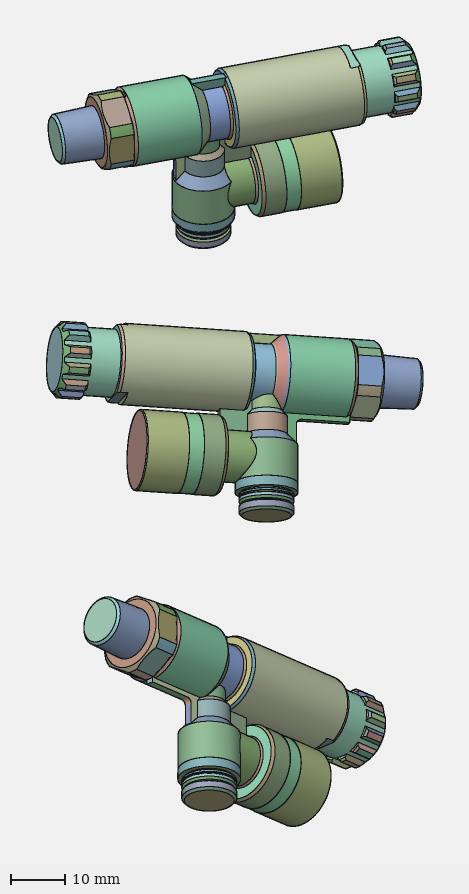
import cadquery as cq
import math


TOTAL_LENGTH = 68.9
SPIGOT_TIP_RADIUS = 4.7
SPIGOT_ROOT_RADIUS = 4.95
SPIGOT_CHAMFER = 0.5
HEX_START = 7.9
HEX_END = 13.0
HEX_ACROSS_FLATS = 13.9
HEX_CHAMFER_LENGTH = 0.6
HEX_CHAMFER_RADIUS = 6.6

BODY_RADIUS = 14.9 / 2
BODY_BEVEL_END = 13.65
BODY_BEVEL_RADIUS = 7.0
BODY_END = 26.0
BODY_REAR_CHAMFER_LENGTH = 0.35
BODY_REAR_CHAMFER_DEPTH = 0.2
CONE_END = 28.0
CONE_END_RADIUS = 5.7
CONE_STEP_LENGTH = 0.3
NECK_RADIUS = 5.5
NECK_FLARE_LENGTH = 0.5
NECK_FLARE_RADIUS = 5.8
BARREL_RADIUS = 15.0 / 2
SLEEVE_START = 32.6
SLEEVE_END = 57.95
SLEEVE_FRONT_CHAMFER = 0.55
SLEEVE_REAR_CHAMFER = 0.55
SLEEVE_FRONT_CHAMFER_DEPTH = 0.35
SLEEVE_REAR_CHAMFER_DEPTH = 0.2
SLEEVE_FLAT_START = 55.95
SLEEVE_FLAT_HEIGHT = 6.5

SHANK_RADIUS = 12.6 / 2
KNOB_START = 63.6
KNOB_RADIUS = 7.2
KNOB_FRONT_CHAMFER = 0.4
KNOB_REAR_CHAMFER = 1.2
RIB_COUNT = 12
RIB_BASE_WIDTH = 2.35
RIB_TOP_WIDTH = 1.2

STEM_Y = 28.65
PIVOT_RADIUS = 6.0 / 2
PIVOT_BOTTOM = -7.2
STEM_NECK_RADIUS = 7.8 / 2
STEM_NECK_TOP = -8.2
STEM_NECK_BOTTOM = -11.65
STEM_RADIUS = 11.5 / 2
STEM_TOP = -13.6
SHOULDER_RADIUS = 11.6 / 2
SHOULDER_TOP = -20.9
SHOULDER_BOTTOM = -22.7
PLUG_RADIUS = 10.1 / 2
PLUG_ROOT_RADIUS = 4.75
PLUG_GROOVE_RADIUS = 4.05
UPPER_RING_TOP = -23.0
UPPER_RING_BOTTOM = -23.4
LOWER_RING_TOP = -23.8
LOWER_RING_BOTTOM = -24.4
PLUG_GROOVE_TOP = -24.9
FLANGE_TOP = -25.3
PLUG_BOTTOM = -27.0
PLUG_CHAMFER = 0.5

BRANCH_Z = -16.2
STUB_RADIUS = 4.8
STUB_FLARE_RADIUS = PLUG_RADIUS
STUB_FLARE_LENGTH = 0.5
COLLAR_START = 37.7
COLLAR_END = 53.25
COLLAR_FRONT_CHAMFER_LENGTH = 0.6
COLLAR_FRONT_CHAMFER_DEPTH = 0.4
COLLAR_REAR_CHAMFER = 0.2
COLLAR_BAND_START = 42.4
COLLAR_BAND_END = 45.2
COLLAR_BAND_RADIUS = BODY_RADIUS

WEB_THICKNESS = 1.5
WEB_TOP = 7.3
WEB_FRONT_BOTTOM = -8.4
WEB_STEM_FRONT = 23.15
WEB_FILLET = 1.0


def turned_along_y(profile, axis_z=0.0):
    """Solid of revolution about a Y-parallel axis in the X = 0 plane, from (y, radius) points."""
    points = [(profile[0][0], 0)] + profile + [(profile[-1][0], 0)]
    solid = cq.Workplane("XY").polyline([(radius, y) for y, radius in points]).close()
    return solid.revolve(360, (0, 0, 0), (0, 1, 0)).translate((0, 0, axis_z))


def turned_along_z(profile, axis_y):
    """Solid of revolution about a vertical axis in the X = 0 plane, from (z, radius) points."""
    points = [(profile[0][0], 0)] + profile + [(profile[-1][0], 0)]
    solid = cq.Workplane("XZ").polyline([(radius, z) for z, radius in points]).close()
    return solid.revolve(360, (0, 0, 0), (0, 1, 0)).translate((0, axis_y, 0))


def bar_along_y(sketch, start, end):
    """Move a sketch drawn on the XZ plane to Y = start and extrude it to Y = end."""
    return sketch.extrude(start - end).translate((0, start, 0))


def make_spigot():
    return turned_along_y([
        (0, SPIGOT_TIP_RADIUS - SPIGOT_CHAMFER),
        (SPIGOT_CHAMFER, SPIGOT_TIP_RADIUS),
        (HEX_START, SPIGOT_ROOT_RADIUS),
        (HEX_END, SPIGOT_ROOT_RADIUS),
    ])


def make_hexagon():
    """Hexagon with two flats facing +-X and its corners turned down to the barrel diameter."""
    across_corners = HEX_ACROSS_FLATS / math.cos(math.pi / 6)
    sketch = cq.Workplane("XZ").transformed(rotate=(0, 0, 30)).polygon(6, across_corners)
    envelope = turned_along_y([
        (HEX_START, HEX_CHAMFER_RADIUS),
        (HEX_START + HEX_CHAMFER_LENGTH, BARREL_RADIUS),
        (HEX_END, BARREL_RADIUS),
    ])
    return bar_along_y(sketch, HEX_START, HEX_END).intersect(envelope)


def make_body_and_neck():
    return turned_along_y([
        (HEX_END, BODY_BEVEL_RADIUS),
        (BODY_BEVEL_END, BODY_RADIUS),
        (BODY_END, BODY_RADIUS),
        (BODY_END + BODY_REAR_CHAMFER_LENGTH, BODY_RADIUS - BODY_REAR_CHAMFER_DEPTH),
        (CONE_END, CONE_END_RADIUS),
        (CONE_END + CONE_STEP_LENGTH, NECK_RADIUS),
        (SLEEVE_START - NECK_FLARE_LENGTH, NECK_RADIUS),
        (SLEEVE_START, NECK_FLARE_RADIUS),
    ])


def make_sleeve():
    """Sleeve with a flat above and below the axis at its knob end."""
    sleeve = turned_along_y([
        (SLEEVE_START, BARREL_RADIUS - SLEEVE_FRONT_CHAMFER_DEPTH),
        (SLEEVE_START + SLEEVE_FRONT_CHAMFER, BARREL_RADIUS),
        (SLEEVE_END - SLEEVE_REAR_CHAMFER, BARREL_RADIUS),
        (SLEEVE_END, BARREL_RADIUS - SLEEVE_REAR_CHAMFER_DEPTH),
    ])
    cut_depth = BARREL_RADIUS - SLEEVE_FLAT_HEIGHT
    for side in (-1, 1):
        sketch = cq.Workplane("XZ").center(0, side * (SLEEVE_FLAT_HEIGHT + cut_depth / 2))
        sketch = sketch.rect(2 * BARREL_RADIUS, cut_depth)
        sleeve = sleeve.cut(bar_along_y(sketch, SLEEVE_FLAT_START, SLEEVE_END))
    return sleeve


def make_knob():
    """Shank with tapered ribs spaced evenly around its end."""
    shank = turned_along_y([(SLEEVE_END, SHANK_RADIUS), (TOTAL_LENGTH, SHANK_RADIUS)])
    rib_base = SHANK_RADIUS * math.cos(math.asin(RIB_BASE_WIDTH / 2 / SHANK_RADIUS))
    ribbed_bar = shank
    for index in range(RIB_COUNT):
        sketch = cq.Workplane("XZ").polyline([
            (0, 0),
            (RIB_BASE_WIDTH / 2, rib_base),
            (RIB_TOP_WIDTH / 2, KNOB_RADIUS),
            (-RIB_TOP_WIDTH / 2, KNOB_RADIUS),
            (-RIB_BASE_WIDTH / 2, rib_base),
        ]).close()
        rib = bar_along_y(sketch, KNOB_START, TOTAL_LENGTH)
        ribbed_bar = ribbed_bar.union(rib.rotate((0, 0, 0), (0, 1, 0), index * 360 / RIB_COUNT))
    envelope = turned_along_y([
        (SLEEVE_END, SHANK_RADIUS),
        (KNOB_START, SHANK_RADIUS),
        (KNOB_START, KNOB_RADIUS - KNOB_FRONT_CHAMFER),
        (KNOB_START + KNOB_FRONT_CHAMFER, KNOB_RADIUS),
        (TOTAL_LENGTH - KNOB_REAR_CHAMFER, KNOB_RADIUS),
        (TOTAL_LENGTH, KNOB_RADIUS - KNOB_REAR_CHAMFER),
    ])
    return ribbed_bar.intersect(envelope)


def make_stem():
    """Stem from the barrel axis down to the grooved plug."""
    return turned_along_z([
        (0, PIVOT_RADIUS),
        (PIVOT_BOTTOM, PIVOT_RADIUS),
        (STEM_NECK_TOP, STEM_NECK_RADIUS),
        (STEM_NECK_BOTTOM, STEM_NECK_RADIUS),
        (STEM_TOP, STEM_RADIUS),
        (SHOULDER_TOP, STEM_RADIUS),
        (SHOULDER_TOP, SHOULDER_RADIUS),
        (SHOULDER_BOTTOM, SHOULDER_RADIUS),
        (SHOULDER_BOTTOM, PLUG_ROOT_RADIUS),
        (UPPER_RING_TOP, PLUG_ROOT_RADIUS),
        (UPPER_RING_TOP, PLUG_RADIUS),
        (UPPER_RING_BOTTOM, PLUG_RADIUS),
        (UPPER_RING_BOTTOM, PLUG_ROOT_RADIUS),
        (LOWER_RING_TOP, PLUG_ROOT_RADIUS),
        (LOWER_RING_TOP, PLUG_RADIUS),
        (LOWER_RING_BOTTOM, PLUG_RADIUS),
        (PLUG_GROOVE_TOP, PLUG_ROOT_RADIUS),
        (PLUG_GROOVE_TOP, PLUG_GROOVE_RADIUS),
        (FLANGE_TOP, PLUG_GROOVE_RADIUS),
        (FLANGE_TOP, PLUG_RADIUS),
        (PLUG_BOTTOM + PLUG_CHAMFER, PLUG_RADIUS),
        (PLUG_BOTTOM, PLUG_RADIUS - PLUG_CHAMFER),
    ], STEM_Y)


def make_branch():
    """Stub leaving the stem toward +Y and the banded collar on its end."""
    return turned_along_y([
        (STEM_Y, STUB_RADIUS),
        (COLLAR_START - STUB_FLARE_LENGTH, STUB_RADIUS),
        (COLLAR_START, STUB_FLARE_RADIUS),
        (COLLAR_START, BARREL_RADIUS - COLLAR_FRONT_CHAMFER_DEPTH),
        (COLLAR_START + COLLAR_FRONT_CHAMFER_LENGTH, BARREL_RADIUS),
        (COLLAR_BAND_START, BARREL_RADIUS),
        (COLLAR_BAND_START, COLLAR_BAND_RADIUS),
        (COLLAR_BAND_END, COLLAR_BAND_RADIUS),
        (COLLAR_BAND_END, BARREL_RADIUS),
        (COLLAR_END - COLLAR_REAR_CHAMFER, BARREL_RADIUS),
        (COLLAR_END, BARREL_RADIUS - COLLAR_REAR_CHAMFER),
    ], BRANCH_Z)


def make_web():
    """Plate tying the barrel, the stem and the collar together."""
    web_edge = cq.Workplane("YZ").polyline([
        (HEX_END, WEB_TOP),
        (COLLAR_START, WEB_TOP),
        (COLLAR_START, BRANCH_Z),
        (STEM_Y, BRANCH_Z),
        (STEM_Y, STEM_TOP),
        (WEB_STEM_FRONT, STEM_TOP),
        (WEB_STEM_FRONT, WEB_FRONT_BOTTOM - WEB_FILLET),
    ])
    arc_middle = WEB_FILLET * (1 - math.sqrt(0.5))
    outline = web_edge.threePointArc(
        (WEB_STEM_FRONT - arc_middle, WEB_FRONT_BOTTOM - arc_middle),
        (WEB_STEM_FRONT - WEB_FILLET, WEB_FRONT_BOTTOM),
    ).lineTo(HEX_END, WEB_FRONT_BOTTOM).close()
    return outline.extrude(WEB_THICKNESS / 2, both=True)


result = make_body_and_neck()
for piece in (
    make_spigot(),
    make_hexagon(),
    make_sleeve(),
    make_knob(),
    make_stem(),
    make_branch(),
    make_web(),
):
    result = result.union(piece)